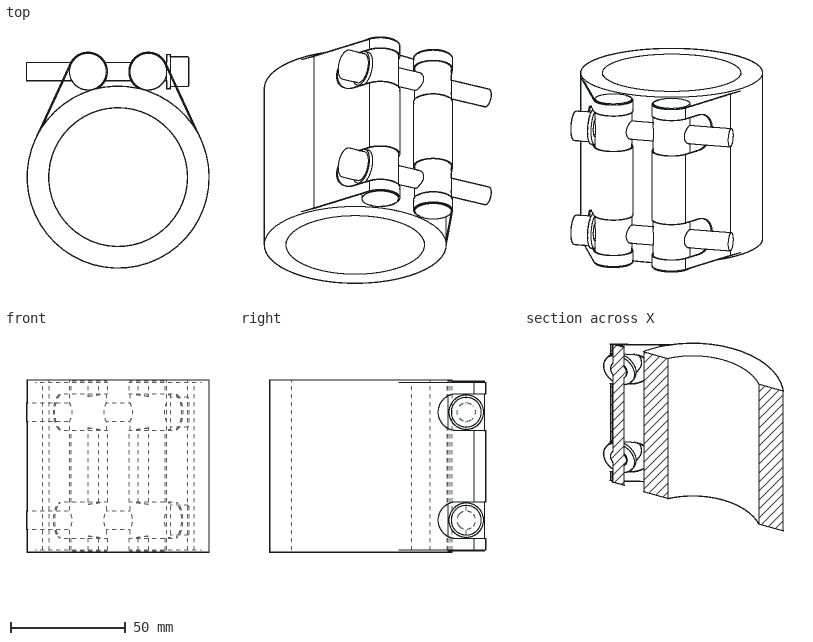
import cadquery as cq
import math

RING_OD = 79.3
RING_ID = 60.3
RING_HEIGHT = 75.0

PIN_D = 16.0
PIN_HEIGHT = 74.0
PIN_X = 13.15
PIN_Y = 45.88
STRAP_THICKNESS = 0.5
STRAP_HEIGHT = 73.0

SLOT_WIDTH = 16.0
SLOT_END_Y = 33.65

BOLT_D = 8.0
BOLT_TIP_X = -39.97
BOLT_SPACING = 47.0
WASHER_D = 15.0
WASHER_THICKNESS = 1.6
HEAD_D = 13.0
HEAD_LENGTH = 8.0
HEAD_FILLET = 0.6

RING_R = RING_OD / 2
PIN_R = PIN_D / 2
LOOP_R = PIN_R + STRAP_THICKNESS
WASHER_X = PIN_X + PIN_R
HEAD_X = WASHER_X + WASHER_THICKNESS


def upright_cylinder(diameter, height):
    """Cylinder along Z, centred on the XY plane."""
    return cq.Workplane("XY").circle(diameter / 2).extrude(height / 2, both=True)


def make_strap():
    """Strap on the +X side: tangent to the ring, looped over the pin and down to the ring again."""
    pin_distance = math.hypot(PIN_X, PIN_Y)
    tangent_angle = math.atan2(PIN_Y, PIN_X) - math.acos((RING_R - LOOP_R) / pin_distance)
    middle_angle = (tangent_angle + 1.5 * math.pi) / 2

    def on_ring(radius):
        return radius * math.cos(tangent_angle), radius * math.sin(tangent_angle)

    def on_loop(radius, angle):
        return PIN_X + radius * math.cos(angle), PIN_Y + radius * math.sin(angle)

    return (
        cq.Workplane("XY")
        .moveTo(*on_ring(RING_R))
        .lineTo(*on_loop(LOOP_R, tangent_angle))
        .threePointArc(on_loop(LOOP_R, middle_angle), (PIN_X, PIN_Y - LOOP_R))
        .lineTo(PIN_X, PIN_Y - PIN_R)
        .threePointArc(on_loop(PIN_R, middle_angle), on_loop(PIN_R, tangent_angle))
        .lineTo(*on_ring(RING_R - STRAP_THICKNESS))
        .close()
        .extrude(STRAP_HEIGHT / 2, both=True)
    )


def make_slot(z):
    """Cutter along X with a round end toward the ring, open on the +Y side."""
    half_width = SLOT_WIDTH / 2
    arc_y = SLOT_END_Y + half_width
    open_y = PIN_Y + 2 * LOOP_R
    return (
        cq.Workplane("YZ")
        .moveTo(open_y, z + half_width)
        .lineTo(arc_y, z + half_width)
        .threePointArc((SLOT_END_Y, z), (arc_y, z - half_width))
        .lineTo(open_y, z - half_width)
        .close()
        .extrude(RING_OD, both=True)
    )


def make_bolt(z):
    """Shank, washer and rounded cylindrical head."""

    def along_x(start_x, diameter, length):
        return (
            cq.Workplane("YZ", origin=(start_x, PIN_Y, z))
            .circle(diameter / 2)
            .extrude(length)
        )

    shank = along_x(BOLT_TIP_X, BOLT_D, HEAD_X - BOLT_TIP_X)
    washer = along_x(WASHER_X, WASHER_D, WASHER_THICKNESS)
    head = along_x(HEAD_X, HEAD_D, HEAD_LENGTH).faces(">X").edges().fillet(HEAD_FILLET)
    return shank.union(washer).union(head)


bolt_heights = (-BOLT_SPACING / 2, BOLT_SPACING / 2)

right_strap = make_strap()
straps = right_strap.union(right_strap.mirror("YZ"))
for bolt_z in bolt_heights:
    straps = straps.cut(make_slot(bolt_z))

body = upright_cylinder(RING_OD, RING_HEIGHT).union(straps)
for pin_x in (-PIN_X, PIN_X):
    body = body.union(upright_cylinder(PIN_D, PIN_HEIGHT).translate((pin_x, PIN_Y, 0)))
for bolt_z in bolt_heights:
    body = body.union(make_bolt(bolt_z))

result = body.cut(upright_cylinder(RING_ID, RING_HEIGHT))